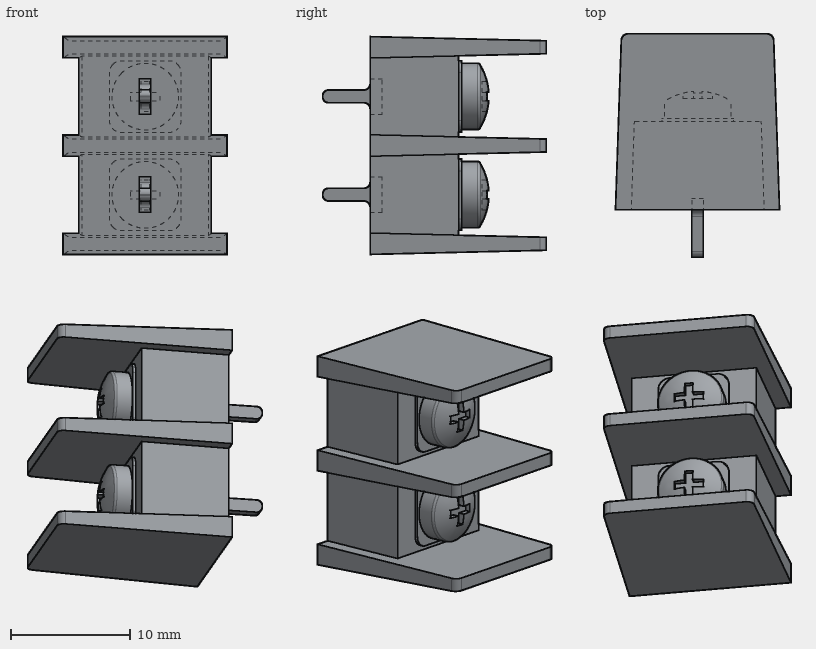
import cadquery as cq
import math


overall_length = 18.8
pole_count = 2
pole_pitch = 8.25
pin_length = 3.99
housing_depth = overall_length - pin_length

wall_base_width = 13.8
wall_tip_width = 12.78
wall_base_thickness = 1.8
wall_tip_thickness = 1.1
wall_corner_radius = 0.6

block_base_width = 11.17
block_depth = 7.45
block_top_width = block_base_width - (wall_base_width - wall_tip_width) * block_depth / housing_depth
block_height = pole_count * pole_pitch

pin_width = 1.0
pin_thickness = 1.09
pin_tip_radius = 0.5
pin_root_fillet = 0.5
pin_root_height = 2.99
pin_root_depth = 1.0

plate_side = 6.02
plate_thickness = 0.25
plate_corner_radius = 1.0

head_radius = 2.8
head_height = 2.31
dome_radius = 5.08
head_edge_fillet = 0.26
recess_length = 2.5
recess_width = 0.7
recess_depth = 0.6

wall_heights = [(i - pole_count / 2) * pole_pitch for i in range(pole_count + 1)]
pole_heights = [(i - (pole_count - 1) / 2) * pole_pitch for i in range(pole_count)]
plate_top = block_depth + plate_thickness


def make_wall(height):
    """One tapered barrier wall with rounded tip corners."""
    return (
        cq.Workplane("XZ", origin=(0, 0, height))
        .rect(wall_base_width, wall_base_thickness)
        .workplane(offset=-housing_depth)
        .rect(wall_tip_width, wall_tip_thickness)
        .loft(ruled=True)
        .faces(">Y")
        .edges("|Z")
        .fillet(wall_corner_radius)
    )


def make_pin_pocket(height):
    """The space in the housing that the root of one pin fills."""
    return (
        cq.Workplane("XZ", origin=(0, 0, height))
        .rect(pin_width, pin_root_height)
        .extrude(-pin_root_depth)
    )


def make_housing():
    """Block and barrier walls in one solid, with a pocket for each pin root."""
    housing = (
        cq.Workplane("XZ")
        .rect(block_base_width, block_height)
        .workplane(offset=-block_depth)
        .rect(block_top_width, block_height)
        .loft(ruled=True)
    )
    for height in wall_heights:
        housing = housing.union(make_wall(height))
    for height in pole_heights:
        housing = housing.cut(make_pin_pocket(height))
    return housing


def make_pin(height):
    """One flat pin: a wide root in the housing and a rounded blade outside it."""
    half_blade = pin_thickness / 2
    half_flare = half_blade + pin_root_fillet
    half_root = pin_root_height / 2
    half_tip = half_blade - pin_tip_radius
    tip_start = pin_tip_radius - pin_length
    bend = math.sqrt(0.5)
    flare_mid = (-pin_root_fillet * (1 - bend), half_flare - pin_root_fillet * bend)
    tip_mid = (tip_start - pin_tip_radius * bend, half_tip + pin_tip_radius * bend)
    return (
        cq.Workplane("YZ", origin=(0, 0, height))
        .moveTo(pin_root_depth, -half_root)
        .lineTo(pin_root_depth, half_root)
        .lineTo(0, half_root)
        .lineTo(0, half_flare)
        .threePointArc(flare_mid, (-pin_root_fillet, half_blade))
        .lineTo(tip_start, half_blade)
        .threePointArc(tip_mid, (-pin_length, half_tip))
        .lineTo(-pin_length, -half_tip)
        .threePointArc((tip_mid[0], -tip_mid[1]), (tip_start, -half_blade))
        .lineTo(-pin_root_fillet, -half_blade)
        .threePointArc((flare_mid[0], -flare_mid[1]), (0, -half_flare))
        .lineTo(0, -half_root)
        .close()
        .extrude(pin_width / 2, both=True)
    )


def make_clamp_plate(height):
    """One square plate with rounded corners that lies on the block."""
    return (
        cq.Workplane("XZ", origin=(0, block_depth, height))
        .rect(plate_side, plate_side)
        .extrude(-plate_thickness)
        .edges("|Y")
        .fillet(plate_corner_radius)
    )


def dome_drop(radius):
    """How far the dome lies below its summit at a distance from the screw axis."""
    return dome_radius - math.sqrt(dome_radius**2 - radius**2)


def make_screw_head(height):
    """One domed screw head with a cross recess."""
    rim_height = head_height - dome_drop(head_radius)
    halfway = head_radius / 2
    head = (
        cq.Workplane("XY", origin=(0, plate_top, height))
        .lineTo(head_radius, 0)
        .lineTo(head_radius, rim_height)
        .threePointArc((halfway, head_height - dome_drop(halfway)), (0, head_height))
        .close()
        .revolve(360, (0, 0), (0, 1))
        .faces("%CYLINDER")
        .edges(">Y")
        .fillet(head_edge_fillet)
    )
    slot = (
        cq.Workplane("XZ", origin=(0, plate_top + head_height, height))
        .rect(recess_length, recess_width)
        .extrude(recess_depth)
    )
    crossing_slot = slot.rotate((0, 0, height), (0, 1, height), 90)
    return head.cut(slot).cut(crossing_slot)


housing = make_housing()
pins = [make_pin(height) for height in pole_heights]
clamp_plates = [make_clamp_plate(height) for height in pole_heights]
screw_heads = [make_screw_head(height) for height in pole_heights]

bodies = [housing, *pins, *clamp_plates, *screw_heads]
result = cq.Compound.makeCompound([body.solids().val() for body in bodies])